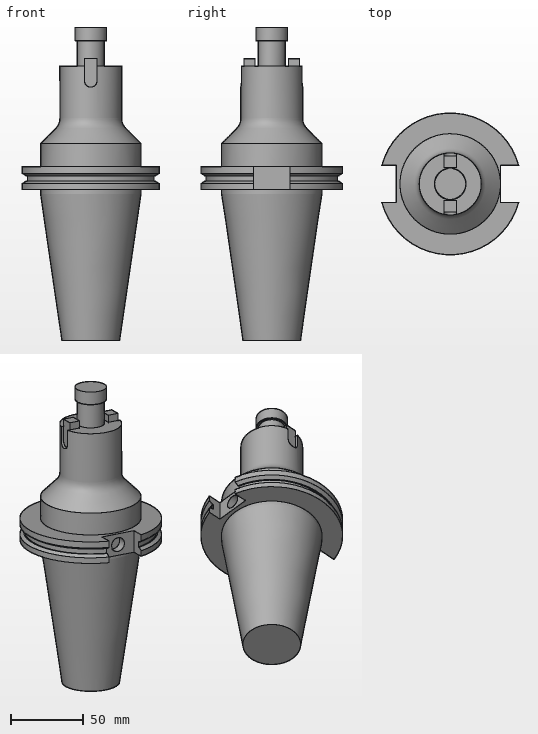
import cadquery as cq
import math

TAPER_LENGTH = 101.5
GAUGE_DIAMETER = 69.8
TAPER_RATIO = 7 / 24

FLANGE_DIAMETER = 98.5
FLANGE_BOTTOM = 104.8
FLANGE_TOP = 120.6
GROOVE_FLANK_DEPTH = 2.5
GROOVE_FLOOR_STEP = 0.9
GROOVE_LOWER_LIP = 4.1
GROOVE_UPPER_LIP = 4.5
GROOVE_SIDE_HEIGHT = 1.7

SLOT_WIDTH = 25.6
SLOT_FLOOR_LEFT = 37.5
SLOT_FLOOR_RIGHT = 35.0
DIMPLE_DIAMETER = 10.2
DIMPLE_DEPTH = 6.5
DIMPLE_Z = (FLANGE_BOTTOM + FLANGE_TOP) / 2

COLLAR_TOP = 136.7
NOSE_DIAMETER = 43.0
NOSE_TOP = 190.5
NECK_FILLET = 10.0

TOTAL_HEIGHT = 217.4
HEAD_DIAMETER = 22.0
HEAD_HEIGHT = 9.5
HEAD_CHAMFER = 0.5
SPIGOT_DIAMETER = 19.0
SPIGOT_TOP = TOTAL_HEIGHT - HEAD_HEIGHT

KEY_WIDTH = 8.7
KEY_INNER_Y = 11.5
KEY_OUTER_Y = 19.3
KEY_TOP = 195.6
KEY_BOTTOM = 175.8
KEY_ANGLES = (0, 180)


def holder_blank():
    """Revolve the taper, flange, collar, nose and spigot as one profile."""
    gauge_r = GAUGE_DIAMETER / 2
    tip_r = gauge_r - TAPER_LENGTH * TAPER_RATIO / 2
    flange_r = FLANGE_DIAMETER / 2
    flank_r = flange_r - GROOVE_FLANK_DEPTH
    groove_r = flank_r - GROOVE_FLOOR_STEP
    groove_bottom = FLANGE_BOTTOM + GROOVE_LOWER_LIP
    groove_top = FLANGE_TOP - GROOVE_UPPER_LIP
    nose_r = NOSE_DIAMETER / 2
    spigot_r = SPIGOT_DIAMETER / 2

    shoulder_angle = math.radians(45)
    shoulder_top = COLLAR_TOP + gauge_r - nose_r
    arc_end_z = shoulder_top + NECK_FILLET * math.tan(shoulder_angle / 2)
    arc_center_r = nose_r + NECK_FILLET

    def arc_point(angle):
        return (arc_center_r - NECK_FILLET * math.cos(angle), arc_end_z - NECK_FILLET * math.sin(angle))

    return (
        cq.Workplane("XZ")
        .moveTo(0, 0)
        .lineTo(tip_r, 0)
        .lineTo(gauge_r, TAPER_LENGTH)
        .lineTo(gauge_r, FLANGE_BOTTOM)
        .lineTo(flange_r, FLANGE_BOTTOM)
        .lineTo(flange_r, groove_bottom)
        .lineTo(flank_r, groove_bottom + GROOVE_SIDE_HEIGHT)
        .lineTo(groove_r, groove_bottom + GROOVE_SIDE_HEIGHT)
        .lineTo(groove_r, groove_top - GROOVE_SIDE_HEIGHT)
        .lineTo(flank_r, groove_top - GROOVE_SIDE_HEIGHT)
        .lineTo(flange_r, groove_top)
        .lineTo(flange_r, FLANGE_TOP)
        .lineTo(gauge_r, FLANGE_TOP)
        .lineTo(gauge_r, COLLAR_TOP)
        .lineTo(*arc_point(shoulder_angle))
        .threePointArc(arc_point(shoulder_angle / 2), (nose_r, arc_end_z))
        .lineTo(nose_r, NOSE_TOP)
        .lineTo(spigot_r, NOSE_TOP)
        .lineTo(spigot_r, SPIGOT_TOP)
        .lineTo(0, SPIGOT_TOP)
        .close()
        .revolve(360, (0, 0, 0), (0, 1, 0))
    )


def drive_slot(floor_distance, side):
    """Cutter for one flange slot; side is -1 for -X and +1 for +X."""
    depth = FLANGE_DIAMETER / 2 - floor_distance
    return cq.Workplane("XY").box(depth, SLOT_WIDTH, FLANGE_TOP - FLANGE_BOTTOM).translate(
        (side * (floor_distance + depth / 2), 0, DIMPLE_Z)
    )


def dimple():
    """Cutter for the round blind hole in the -X slot floor."""
    return (
        cq.Workplane("YZ", origin=(-SLOT_FLOOR_LEFT, 0, 0))
        .center(0, DIMPLE_Z)
        .circle(DIMPLE_DIAMETER / 2)
        .extrude(DIMPLE_DEPTH)
    )


def key_shape(outer_y, angle):
    """Round-ended prism from the key's inner face out to outer_y, turned about Z."""
    half_width = KEY_WIDTH / 2
    arc_z = KEY_BOTTOM + half_width
    return (
        cq.Workplane("XZ", origin=(0, -KEY_INNER_Y, 0))
        .moveTo(-half_width, KEY_TOP)
        .lineTo(-half_width, arc_z)
        .threePointArc((0, KEY_BOTTOM), (half_width, arc_z))
        .lineTo(half_width, KEY_TOP)
        .close()
        .extrude(outer_y - KEY_INNER_Y)
        .rotate((0, 0, 0), (0, 0, 1), angle)
    )


def make_holder():
    body = holder_blank()
    body = body.cut(drive_slot(SLOT_FLOOR_LEFT, -1))
    body = body.cut(drive_slot(SLOT_FLOOR_RIGHT, 1))
    body = body.cut(dimple())
    for angle in KEY_ANGLES:
        body = body.cut(key_shape(NOSE_DIAMETER / 2, angle))
    return body


def make_screw_head():
    """Plain round head with a fine chamfer on its lower edge."""
    head = cq.Workplane("XY", origin=(0, 0, SPIGOT_TOP)).circle(HEAD_DIAMETER / 2).extrude(HEAD_HEIGHT)
    return head.faces("<Z").edges().chamfer(HEAD_CHAMFER)


def make_key(angle):
    return key_shape(KEY_OUTER_Y, angle)


holder = make_holder()
screw_head = make_screw_head()
keys = [make_key(angle) for angle in KEY_ANGLES]

result = cq.Compound.makeCompound([holder.val(), screw_head.val(), *[key.val() for key in keys]])